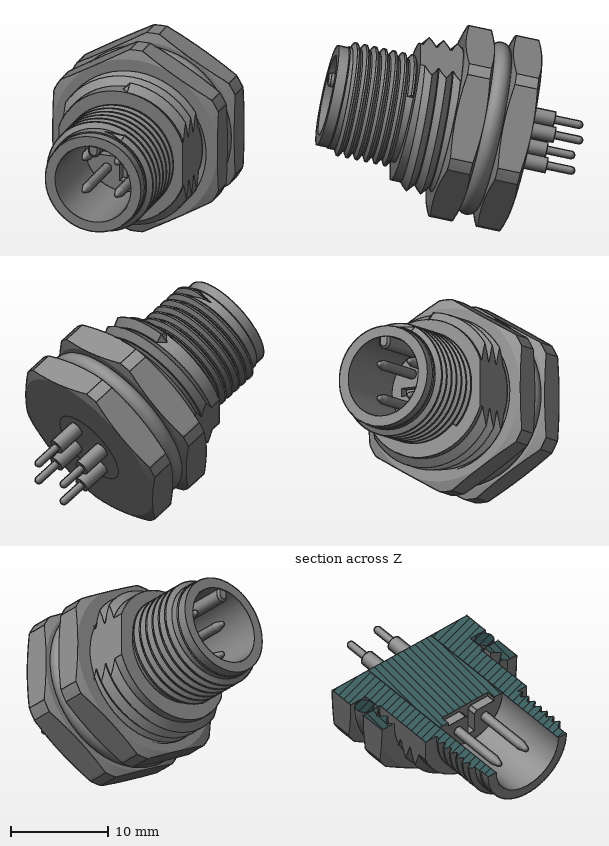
import cadquery as cq
import math


nose_end = 1.06
collar_start = 8.2
nut_start = 12.5
hex_thickness = 3.0
ring_section = 2.0
nut_end = nut_start + hex_thickness
flange_start = nut_end + ring_section
rear_face = flange_start + hex_thickness
shoulder_end = rear_face + 3.0
pin_end = shoulder_end + 3.0

nose_diameter = 10.45
shank_diameter = 10.65
shank_bevel = (shank_diameter - nose_diameter) / 2
bore_diameter = 8.3
across_thread_flats = 13.5
ridge_foot_depth = 0.04

m12_pitch = 1.0
m12_crest_radius = 11.75 / 2
m12_base_width = 0.84
m12_crest_width = 0.2
m12_first_ridge = 1.7
m12_lead_angle = 29.0
m12_height = 6.3

m16_pitch = 1.5
m16_crest_radius = 8.0
m16_root_radius = 7.17
m16_base_width = 1.4
m16_first_ridge = collar_start + m16_pitch / 2
m16_lead_angle = 5.6
m16_height = nut_end - m16_base_width / 2 - m16_first_ridge

across_flats = 18.0
corner_fillet = 1.85
corner_diameter = 20.0
hex_bevel_radius = across_flats / 2
hex_bevel_depth = 0.32

ring_outer_diameter = 18.04
ring_tube_radius = ring_section / 2
ring_path_radius = ring_outer_diameter / 2 - ring_tube_radius
neck_radius = ring_path_radius - ring_tube_radius

carrier_face = 9.0
cross_length = 6.04
cross_width = 0.84
cross_corner_chamfer = 0.35
cross_depth = 1.0
key_width = 1.24
key_reach = 2.92
key_start = 0.1
key_bevel = 0.22

pin_count = 4
pin_circle_radius = 2.52
contact_diameter = 1.0
contact_start = 2.1
contact_tip_diameter = 0.6
contact_taper_length = 0.7
shoulder_diameter = 1.6
shoulder_start = carrier_face + 1.0
tail_diameter = 0.8


def cylinder(diameter, start, end):
    return cq.Workplane("XY").workplane(offset=start).circle(diameter / 2).extrude(end - start)


def lead_in(section, root_radius, lead_angle):
    """Pyramid that grows from a point on the core to the first full ridge section."""
    turn = math.radians(lead_angle)
    middle = sum(z for _, z in section) / len(section)
    apex = cq.Vector(root_radius * math.cos(turn), -root_radius * math.sin(turn), middle)
    corners = [cq.Vector(radius, 0, z) for radius, z in section]
    faces = [cq.Face.makeFromWires(cq.Wire.makePolygon(corners, close=True))]
    for first, second in zip(corners, corners[1:] + corners[:1]):
        faces.append(cq.Face.makeFromWires(cq.Wire.makePolygon([first, second, apex], close=True)))
    return cq.Workplane(cq.Solid.makeSolid(cq.Shell.makeShell(faces)))


def thread(root_radius, crest_radius, base_width, crest_width, pitch, height, first_ridge, lead_angle):
    """Right-hand ridge with a lead-in that starts on the -Y side of the core."""
    foot_radius = root_radius - ridge_foot_depth
    flank_slope = (base_width - crest_width) / 2 / (crest_radius - root_radius)
    foot_half_width = base_width / 2 + flank_slope * ridge_foot_depth
    section = [
        (foot_radius, -foot_half_width),
        (crest_radius, -crest_width / 2),
        (crest_radius, crest_width / 2),
        (foot_radius, foot_half_width),
    ]
    if crest_width == 0:
        section.pop(2)
    helix = cq.Wire.makeHelix(pitch, height, root_radius)
    ridge = cq.Workplane("XZ").polyline(section).close().sweep(cq.Workplane(helix), isFrenet=True)
    ridge = ridge.union(lead_in(section, root_radius, lead_angle))
    return ridge.rotate((0, 0, 0), (0, 0, 1), lead_angle - 90).translate((0, 0, first_ridge))


def panel_thread():
    """Threaded M16 barrel, before its two flats are cut."""
    ridge = thread(m16_root_radius, m16_crest_radius, m16_base_width, 0,
                   m16_pitch, m16_height, m16_first_ridge, m16_lead_angle)
    return cylinder(2 * m16_root_radius, collar_start, nut_end).union(ridge)


def hexagon(start):
    """Hexagonal plate with rounded, turned-down corners and a shallow bevel on both faces."""
    plate = (
        cq.Workplane("XY")
        .workplane(offset=start)
        .polygon(6, across_flats, circumscribed=True)
        .extrude(hex_thickness)
        .edges("|Z")
        .fillet(corner_fillet)
    )
    end = start + hex_thickness
    envelope = (
        cq.Workplane("XZ")
        .polyline([
            (0, start),
            (hex_bevel_radius, start),
            (corner_diameter / 2, start + hex_bevel_depth),
            (corner_diameter / 2, end - hex_bevel_depth),
            (hex_bevel_radius, end),
            (0, end),
        ])
        .close()
        .revolve(360, (0, 0, 0), (0, 1, 0))
    )
    return plate.intersect(envelope)


def make_housing(barrel):
    nose = cylinder(nose_diameter, 0, nose_end)
    shank = cylinder(shank_diameter, nose_end, collar_start).faces("<Z").chamfer(shank_bevel)
    coupling_thread = thread(shank_diameter / 2, m12_crest_radius, m12_base_width, m12_crest_width,
                             m12_pitch, m12_height, m12_first_ridge, m12_lead_angle)
    slab = cq.Workplane("XY").box(across_thread_flats, corner_diameter, 2 * nut_end)
    neck = cylinder(2 * neck_radius, nut_end, flange_start)
    body = barrel.intersect(slab)
    for section in (shank, coupling_thread, nose, neck, hexagon(flange_start)):
        body = body.union(section)
    return body.cut(cylinder(bore_diameter, 0, rear_face))


def make_nut(barrel):
    return hexagon(nut_start).cut(barrel)


def make_sealing_ring():
    ring = cq.Solid.makeTorus(ring_path_radius, ring_tube_radius)
    return cq.Workplane(ring).translate((0, 0, nut_end + ring_tube_radius))


def make_pin():
    """Stepped pin with a tapered, ball-ended contact in front and a rounded solder tail."""
    contact_radius = contact_diameter / 2
    tip_radius = contact_tip_diameter / 2
    shoulder_radius = shoulder_diameter / 2
    tail_radius = tail_diameter / 2
    diagonal = math.sqrt(0.5)
    outline = (
        cq.Workplane("XZ")
        .moveTo(0, contact_start)
        .threePointArc(
            (tip_radius * diagonal, contact_start + tip_radius * (1 - diagonal)),
            (tip_radius, contact_start + tip_radius),
        )
        .lineTo(contact_radius, contact_start + tip_radius + contact_taper_length)
        .lineTo(contact_radius, shoulder_start)
        .lineTo(shoulder_radius, shoulder_start)
        .lineTo(shoulder_radius, shoulder_end)
        .lineTo(tail_radius, shoulder_end)
        .lineTo(tail_radius, pin_end - tail_radius)
        .threePointArc(
            (tail_radius * diagonal, pin_end - tail_radius * (1 - diagonal)),
            (0, pin_end),
        )
        .close()
    )
    return outline.revolve(360, (0, 0, 0), (0, 1, 0))


def make_key():
    """Coding key: a U-shaped bar along the bore wall with a bevelled front."""
    tip_center = key_reach + key_width / 2
    bar = (
        cq.Workplane("XY")
        .workplane(offset=key_start)
        .moveTo(-key_width / 2, -bore_diameter)
        .lineTo(-key_width / 2, -tip_center)
        .threePointArc((0, -key_reach), (key_width / 2, -tip_center))
        .lineTo(key_width / 2, -bore_diameter)
        .close()
        .extrude(carrier_face - key_start)
        .faces("<Z")
        .chamfer(key_bevel)
    )
    return bar.intersect(cylinder(bore_diameter, key_start, carrier_face))


def make_cross_recess():
    """Two crossed slots; a square standing on its corner bevels the four inner corners."""
    square_side = (cross_width + cross_corner_chamfer) * math.sqrt(2)
    face = cq.Workplane("XY").workplane(offset=carrier_face)
    recess = face.rect(cross_length, cross_width).extrude(cross_depth)
    recess = recess.union(face.rect(cross_width, cross_length).extrude(cross_depth))
    square = face.rect(square_side, square_side).extrude(cross_depth)
    return recess.union(square.rotate((0, 0, 0), (0, 0, 1), 45))


def make_carrier(pins):
    carrier = cylinder(bore_diameter, carrier_face, rear_face).cut(make_cross_recess()).union(make_key())
    for pin in pins:
        carrier = carrier.cut(pin)
    return carrier


def turn_to_y(body):
    return body.rotate((0, 0, 0), (1, 0, 0), -90).val()


pin = make_pin()
pins = []
for index in range(pin_count):
    angle = math.radians(45 + index * 360 / pin_count)
    place = (pin_circle_radius * math.cos(angle), pin_circle_radius * math.sin(angle), 0)
    pins.append(pin.translate(place))

barrel = panel_thread()
housing = make_housing(barrel)
nut = make_nut(barrel)
sealing_ring = make_sealing_ring()
carrier = make_carrier(pins)

bodies = [housing, nut, sealing_ring, carrier, *pins]
result = cq.Compound.makeCompound([turn_to_y(body) for body in bodies])